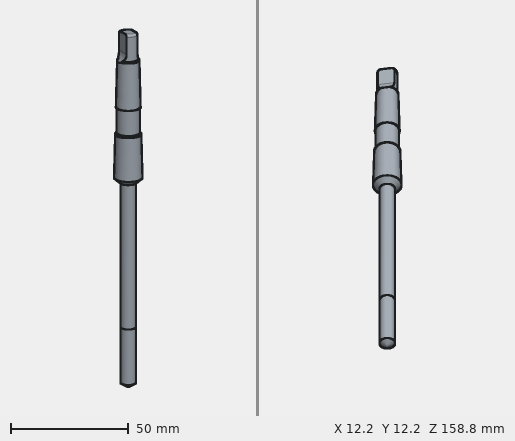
import cadquery as cq
import math

total_length = 158.8

taper_start_depth = 12.7
taper_end_depth = 65.1
taper_large_diameter = 12.2
taper_ratio = 20.0
relief_diameter = 10.2
relief_top_depth = 33.7
relief_bottom_depth = 45.0
relief_chamfer_height = 0.8
shank_base_depth = 67.5

tang_diameter = 8.7
tang_collar_height = 0.6
tang_thickness = 5.2
tang_flat_length = 8.7
tang_runout_radius = 5.1
tang_edge_radius = 1.1
tang_angle = 45.0

drill_diameter = 6.7
cutting_part_depth = 132.0
point_angle = 118.0


def height(depth):
    """Z of a place given as a distance below the top of the tang."""
    return total_length - depth


def taper_radius(depth):
    """Radius of the Morse taper at a distance below the top."""
    return (taper_large_diameter - (taper_end_depth - depth) / taper_ratio) / 2


def revolve_profile(points):
    """Solid of revolution about Z from (radius, Z) points."""
    return cq.Workplane("XZ").polyline(points).close().revolve(360, (0, 0), (0, 1))


def make_tang_cutter(angle):
    """Cutter for one tang flat, ending in a rounded run-out."""
    flat = tang_thickness / 2
    outside = flat + tang_runout_radius
    flat_end = height(tang_flat_length)
    middle = tang_runout_radius * math.sqrt(0.5)
    return (
        cq.Workplane("XZ")
        .moveTo(flat, total_length)
        .lineTo(flat, flat_end)
        .threePointArc((outside - middle, flat_end - middle), (outside, flat_end - tang_runout_radius))
        .lineTo(outside, total_length)
        .close()
        .extrude(taper_large_diameter / 2, both=True)
        .rotate((0, 0, 0), (0, 0, 1), angle)
    )


def make_shank():
    """Taper shank with its tang and the upper drill body."""
    tang_radius = tang_diameter / 2
    relief_radius = relief_diameter / 2
    drill_radius = drill_diameter / 2
    relief_chamfer_end = relief_bottom_depth + relief_chamfer_height
    shank = revolve_profile([
        (0, height(0)),
        (tang_radius, height(0)),
        (tang_radius, height(taper_start_depth - tang_collar_height)),
        (taper_radius(taper_start_depth), height(taper_start_depth)),
        (taper_radius(relief_top_depth), height(relief_top_depth)),
        (relief_radius, height(relief_top_depth)),
        (relief_radius, height(relief_bottom_depth)),
        (taper_radius(relief_chamfer_end), height(relief_chamfer_end)),
        (taper_radius(taper_end_depth), height(taper_end_depth)),
        (drill_radius, height(shank_base_depth)),
        (drill_radius, height(cutting_part_depth)),
        (0, height(cutting_part_depth)),
    ])
    shank = shank.faces(">Z").edges().fillet(tang_edge_radius)
    for angle in (tang_angle, tang_angle + 180):
        shank = shank.cut(make_tang_cutter(angle))
    return shank


def make_cutting_part():
    """Round cutting part with a conical point, butted against the shank body."""
    radius = drill_diameter / 2
    point_height = radius / math.tan(math.radians(point_angle / 2))
    return revolve_profile([
        (0, 0),
        (radius, point_height),
        (radius, height(cutting_part_depth)),
        (0, height(cutting_part_depth)),
    ])


shank = make_shank()
cutting_part = make_cutting_part()
result = cq.Compound.makeCompound([shank.val(), cutting_part.val()])